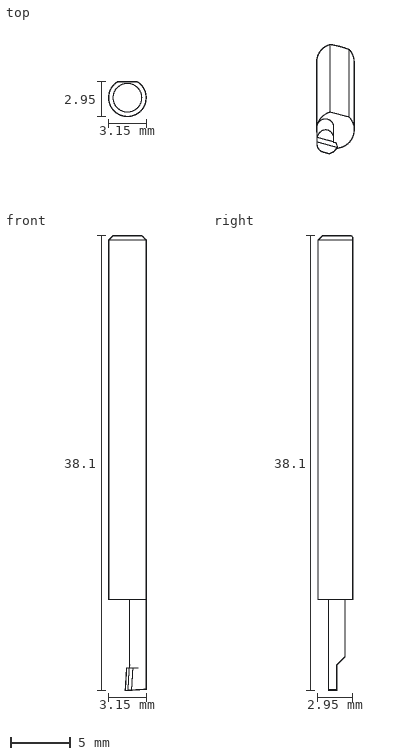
import cadquery as cq

total_length = 38.1

shank_diameter = 3.15
shank_radius = shank_diameter / 2
shank_depth = 2.95
shank_flat_y = shank_depth - shank_radius
shank_bottom_z = 7.62
shank_chamfer = 0.4

neck_diameter = 1.4
neck_radius = neck_diameter / 2
neck_x = shank_radius - neck_radius
neck_overlap = 0.2

relief_bottom_z = 2.15
relief_top_z = relief_bottom_z + neck_radius

end_rise = 0.1

tooth_top_z = 1.9
tooth_lean = 0.1
tip_x = -0.2
heel_x, heel_y = 0.05, -0.45
back_x = 0.35


def make_shank():
    length = total_length - shank_bottom_z
    shank = cq.Workplane("XY", origin=(0, 0, shank_bottom_z)).circle(shank_radius).extrude(length)
    shank = shank.faces(">Z").chamfer(shank_chamfer)
    flat_depth = shank_radius - shank_flat_y
    flat_cut = cq.Workplane("XY", origin=(0, shank_flat_y, shank_bottom_z)).box(
        2 * shank_radius, flat_depth, length, centered=(True, False, False)
    )
    return shank.cut(flat_cut)


def make_neck():
    neck = (
        cq.Workplane("XY", origin=(neck_x, 0, 0))
        .circle(neck_radius)
        .extrude(shank_bottom_z + neck_overlap)
    )
    relief = (
        cq.Workplane("YZ", origin=(neck_x - neck_radius, 0, 0))
        .polyline([(0, 0), (neck_radius, 0), (neck_radius, relief_top_z), (0, relief_bottom_z)])
        .close()
        .extrude(2 * neck_radius)
    )
    return neck.cut(relief)


def tooth_outline(lean):
    """Plan outline of the tooth, its corners left of the neck centre moved towards +X by lean."""
    return [
        (neck_x, 0),
        (tip_x + lean, 0),
        (heel_x + lean, heel_y),
        (back_x + lean, -neck_radius),
        (neck_x, -neck_radius),
    ]


def make_tooth():
    return (
        cq.Workplane("XY")
        .polyline(tooth_outline(0))
        .close()
        .workplane(offset=tooth_top_z)
        .polyline(tooth_outline(tooth_lean))
        .close()
        .loft(ruled=True)
    )


def make_end_cut():
    """Sloping end face: lowest at the tip, rising towards +X."""
    return (
        cq.Workplane("XZ", origin=(0, neck_radius, 0))
        .polyline([(tip_x, 0), (shank_radius, 0), (shank_radius, end_rise)])
        .close()
        .extrude(2 * neck_radius)
    )


result = make_shank().union(make_neck()).union(make_tooth()).cut(make_end_cut())